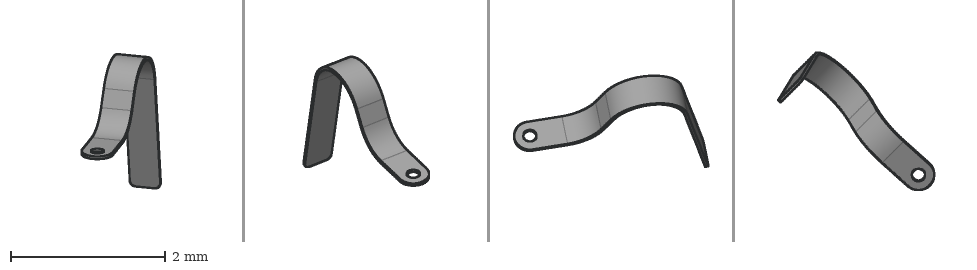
import cadquery as cq
import math

strip_width = 0.41
thickness = 0.04
hole_diameter = 0.17

pad_length = 0.458
concave_radius = 0.51
ramp_angle = 60
ramp_length = 0.255
crown_radius = 0.545
leg_angle = 10
leg_length = 1.638
tip_corner_radius = 0.08


def polar(center, radius, angle):
    """Point in the YZ plane at the given angle in degrees, measured from +Y."""
    a = math.radians(angle)
    return (center[0] + radius * math.cos(a), center[1] + radius * math.sin(a))


concave_center = (pad_length, thickness + concave_radius)
concave_start_angle = -90
concave_end_angle = concave_start_angle + ramp_angle
ramp_top = polar(polar(concave_center, concave_radius, concave_end_angle), ramp_length, ramp_angle)
crown_start_angle = ramp_angle + 90
crown_end_angle = leg_angle
crown_center = polar(ramp_top, crown_radius, crown_start_angle - 180)
leg_direction = leg_angle - 90


def bend_points(center, radius, start_angle, end_angle):
    """Start, middle and end points of a bend surface."""
    middle_angle = (start_angle + end_angle) / 2
    return [polar(center, radius, a) for a in (start_angle, middle_angle, end_angle)]


def bent_strip():
    """Constant-thickness strip from the hole axis to the square leg tip."""
    concave_angles = (concave_start_angle, concave_end_angle)
    crown_angles = (crown_start_angle, crown_end_angle)
    upper_concave = bend_points(concave_center, concave_radius, *concave_angles)
    lower_concave = bend_points(concave_center, concave_radius + thickness, *concave_angles)
    outer_crown = bend_points(crown_center, crown_radius, *crown_angles)
    inner_crown = bend_points(crown_center, crown_radius - thickness, *crown_angles)
    outer_tip = polar(outer_crown[2], leg_length, leg_direction)
    inner_tip = polar(inner_crown[2], leg_length, leg_direction)
    return (
        cq.Workplane("YZ")
        .moveTo(0, thickness)
        .lineTo(*upper_concave[0])
        .threePointArc(upper_concave[1], upper_concave[2])
        .lineTo(*outer_crown[0])
        .threePointArc(outer_crown[1], outer_crown[2])
        .lineTo(*outer_tip)
        .lineTo(*inner_tip)
        .lineTo(*inner_crown[2])
        .threePointArc(inner_crown[1], inner_crown[0])
        .lineTo(*lower_concave[2])
        .threePointArc(lower_concave[1], lower_concave[0])
        .lineTo(0, 0)
        .close()
        .extrude(strip_width / 2, both=True)
    )


def round_leg_tip(strip):
    """Round the two corners of the leg tip, the lowest face of the strip."""
    return strip.faces("<Z").edges("not(|X)").fillet(tip_corner_radius)


def pad_end():
    """Disc that rounds off the pad around the hole axis."""
    return cq.Workplane("XY").circle(strip_width / 2).extrude(thickness)


def pad_hole():
    """Through hole in the pad."""
    return cq.Workplane("XY").circle(hole_diameter / 2).extrude(thickness)


result = round_leg_tip(bent_strip()).union(pad_end()).cut(pad_hole())